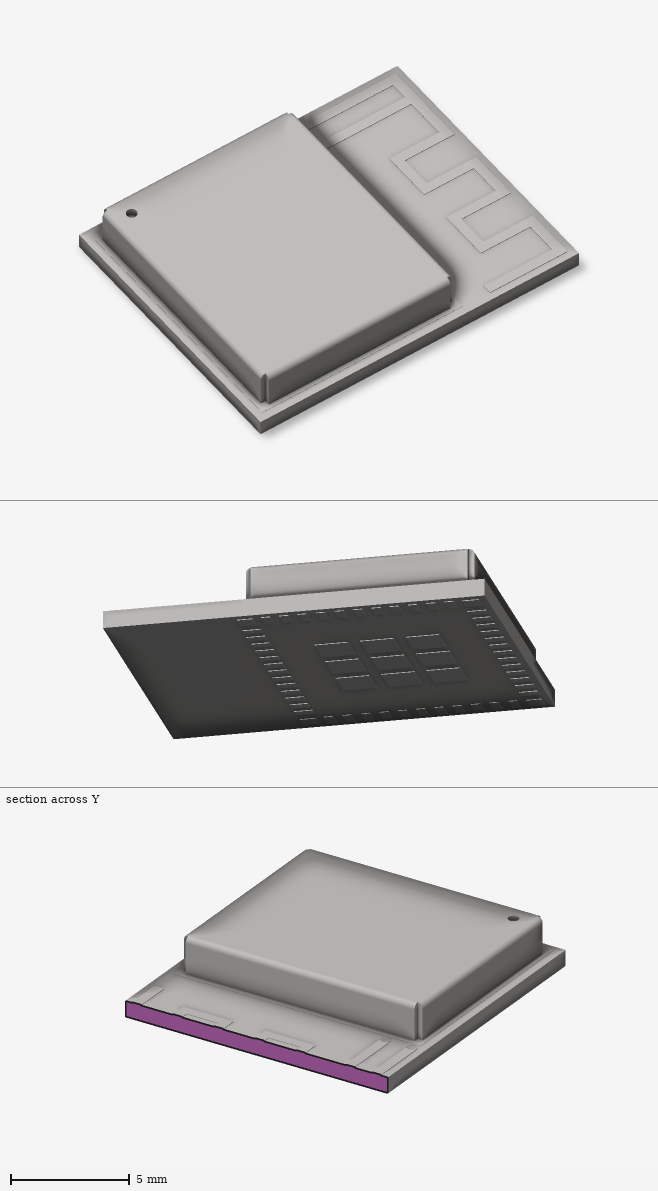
import cadquery as cq

BOARD_WIDTH = 13.2
BOARD_LENGTH = 16.6
BOARD_THICKNESS = 0.765
COPPER_THICKNESS = 0.035
OVERALL_HEIGHT = 2.55

MODULE_CENTRE_Y = -2.7

LAND_WIDTH = 12.4
LAND_LENGTH = 10.45
LAND_THICKNESS = 0.02

SHIELD_WIDTH = 12.0
SHIELD_LENGTH = 9.95
SHIELD_HEIGHT = OVERALL_HEIGHT - BOARD_THICKNESS - COPPER_THICKNESS
BEND_RADIUS = 0.25
CORNER_NOTCH = BEND_RADIUS
MARKER_DIAMETER = 0.5
MARKER_DEPTH = 0.4
MARKER_X = -5.0
MARKER_Y = -6.7

TRACE_WIDTH = 0.47
ANTENNA_HALF_SPAN = 6.02
ANTENNA_TOP_Y = 7.72
MEANDER_BOTTOM_Y = 5.14
MEANDER_PITCH = 2.06
MEANDER_RUNS = 5
ANTENNA_TIP_Y = 4.15
FEED_PITCH = 1.33
VIA_Y = 2.84
VIA_DIAMETER = 0.5
VIA_DEPTH = 0.01
VIA_OFFSET_X = 0.02

PAD_PITCH = 0.8
PAD_WIDTH = 0.4
PAD_LENGTH = 0.8
PADS_PER_ROW = 13
PADS_PER_COLUMN = 11
PAD_COLUMN_X = 5.9
PAD_ROW_OFFSET_Y = 4.9
CORNER_PAD_SIZE = 0.7
GROUND_PAD_SIZE = 1.45
GROUND_PAD_PITCH = 1.975
GROUND_PADS_PER_SIDE = 3


def block(size_x, size_y, height, x, y, base_z):
    """Box centred at (x, y) and standing on base_z."""
    return cq.Workplane("XY", origin=(x, y, base_z)).rect(size_x, size_y).extrude(height)


def spaced(count, pitch):
    """Evenly spaced positions, symmetric about zero."""
    return [(i - (count - 1) / 2) * pitch for i in range(count)]


def make_shield():
    """Two crossed blocks, each rounded along the two top edges at its ends."""
    lengthwise = block(
        SHIELD_WIDTH - 2 * CORNER_NOTCH, SHIELD_LENGTH, SHIELD_HEIGHT, 0, MODULE_CENTRE_Y, BOARD_THICKNESS
    )
    crosswise = block(
        SHIELD_WIDTH, SHIELD_LENGTH - 2 * CORNER_NOTCH, SHIELD_HEIGHT, 0, MODULE_CENTRE_Y, BOARD_THICKNESS
    )
    lengthwise = lengthwise.faces(">Z").edges("|X").fillet(BEND_RADIUS)
    crosswise = crosswise.faces(">Z").edges("|Y").fillet(BEND_RADIUS)
    marker = (
        cq.Workplane("XY", origin=(MARKER_X, MARKER_Y, BOARD_THICKNESS + SHIELD_HEIGHT))
        .circle(MARKER_DIAMETER / 2)
        .extrude(-MARKER_DEPTH)
    )
    return lengthwise.union(crosswise).cut(marker)


def trace_segment(start, end):
    """Straight trace between two centre points, with square ends half a width beyond them."""
    size_x = abs(end[0] - start[0]) + TRACE_WIDTH
    size_y = abs(end[1] - start[1]) + TRACE_WIDTH
    middle_x = (start[0] + end[0]) / 2
    middle_y = (start[1] + end[1]) / 2
    return block(size_x, size_y, COPPER_THICKNESS, middle_x, middle_y, BOARD_THICKNESS)


def feed_leg_positions():
    """X of the centre lines of the two feed legs."""
    return [-ANTENNA_HALF_SPAN, -ANTENNA_HALF_SPAN + FEED_PITCH]


def make_antenna():
    """Two feed legs and a meander that starts and ends along the top of the board."""
    points = [(-ANTENNA_HALF_SPAN, ANTENNA_TOP_Y)]
    y = ANTENNA_TOP_Y
    for run in range(MEANDER_RUNS - 1):
        x = ANTENNA_HALF_SPAN - (MEANDER_RUNS - 1 - run) * MEANDER_PITCH
        next_y = MEANDER_BOTTOM_Y if y == ANTENNA_TOP_Y else ANTENNA_TOP_Y
        points += [(x, y), (x, next_y)]
        y = next_y
    points += [(ANTENNA_HALF_SPAN, ANTENNA_TOP_Y), (ANTENNA_HALF_SPAN, ANTENNA_TIP_Y)]

    leg_end_y = VIA_Y + TRACE_WIDTH / 2
    segments = list(zip(points, points[1:]))
    segments += [((x, ANTENNA_TOP_Y), (x, leg_end_y)) for x in feed_leg_positions()]
    antenna = trace_segment(*segments[0])
    for start, end in segments[1:]:
        antenna = antenna.union(trace_segment(start, end))
    return antenna


def make_vias():
    """Shallow round recesses at the feed legs, cut through the trace and just into the board."""
    centres = [(x + VIA_OFFSET_X, VIA_Y) for x in feed_leg_positions()]
    return (
        cq.Workplane("XY", origin=(0, 0, BOARD_THICKNESS - VIA_DEPTH))
        .pushPoints(centres)
        .circle(VIA_DIAMETER / 2)
        .extrude(VIA_DEPTH + COPPER_THICKNESS)
    )


def make_pad_group(size_x, size_y, centres):
    """Equal rectangular pads hanging below the board, placed about the module centre."""
    return (
        cq.Workplane("XY", origin=(0, MODULE_CENTRE_Y, 0))
        .pushPoints(centres)
        .rect(size_x, size_y)
        .extrude(-COPPER_THICKNESS)
    )


def make_pads():
    """Edge pads on four sides, a square pad at each corner and a central ground grid."""
    columns = [-PAD_COLUMN_X, PAD_COLUMN_X]
    rows = [-PAD_ROW_OFFSET_Y, PAD_ROW_OFFSET_Y]
    ground = spaced(GROUND_PADS_PER_SIDE, GROUND_PAD_PITCH)
    side_centres = [(x, y) for x in columns for y in spaced(PADS_PER_COLUMN, PAD_PITCH)]
    end_centres = [(x, y) for x in spaced(PADS_PER_ROW, PAD_PITCH) for y in rows]
    corner_centres = [(x, y) for x in columns for y in rows]
    ground_centres = [(x, y) for x in ground for y in ground]
    return [
        make_pad_group(PAD_LENGTH, PAD_WIDTH, side_centres),
        make_pad_group(PAD_WIDTH, PAD_LENGTH, end_centres),
        make_pad_group(CORNER_PAD_SIZE, CORNER_PAD_SIZE, corner_centres),
        make_pad_group(GROUND_PAD_SIZE, GROUND_PAD_SIZE, ground_centres),
    ]


board = block(BOARD_WIDTH, BOARD_LENGTH, BOARD_THICKNESS, 0, 0, 0)
land = block(LAND_WIDTH, LAND_LENGTH, LAND_THICKNESS, 0, MODULE_CENTRE_Y, BOARD_THICKNESS)
result = board.union(land).union(make_antenna()).cut(make_vias()).union(make_shield())
for pad_group in make_pads():
    result = result.union(pad_group)